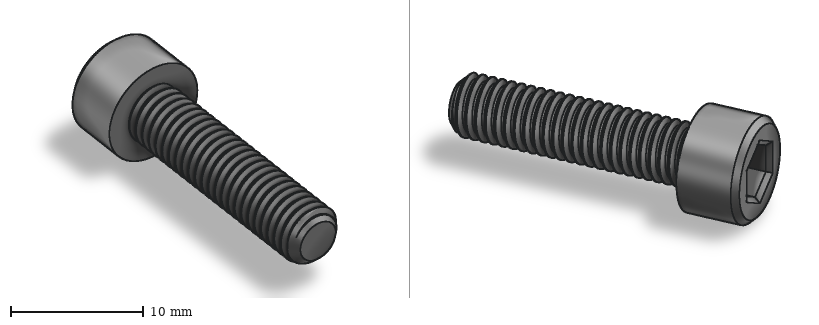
import cadquery as cq
import math

head_diameter = 8.5
head_length = 5.0
head_chamfer = 0.5

socket_flats = 4.0
socket_depth = 2.5
socket_chamfer = 0.4
socket_chamfer_angle = 45
socket_mouth_flats = socket_flats + 2 * socket_chamfer

thread_diameter = 5.0
thread_length = 20.0
pitch = 0.8
tip_chamfer = 0.8
flank_angle = 30
flank_tangent = math.tan(math.radians(flank_angle))
sharp_height = pitch / (2 * flank_tangent)
thread_depth = sharp_height * 5 / 8
crest_flat = pitch / 8
flank_length = thread_depth * flank_tangent
major_radius = thread_diameter / 2
minor_radius = major_radius - thread_depth

spare_turns = 2
shank_clearance = 0.1
thread_turns = math.ceil(thread_length / pitch) + spare_turns
thread_start = head_length - 1.5 * pitch


def hexagon(workplane, flats):
    """Hexagon on a plane facing X, with corners on the Z direction."""
    across_corners = flats / math.cos(math.radians(30))
    return workplane.transformed(rotate=(0, 0, 90)).polygon(6, across_corners)


def make_socket():
    top = cq.Workplane("YZ")
    bore = hexagon(top, socket_flats).extrude(socket_depth)
    mouth = hexagon(top, socket_mouth_flats).extrude(socket_chamfer, taper=socket_chamfer_angle)
    return bore.union(mouth)


def make_head():
    head = cq.Workplane("YZ").circle(head_diameter / 2).extrude(head_length)
    return head.faces("<X").chamfer(head_chamfer).cut(make_socket())


def helix_turn(radius, start):
    """One turn of the helix about Z, beginning above the X axis at height start."""
    turn = cq.Wire.makeHelix(pitch, pitch, radius, center=cq.Vector(0, 0, start))
    return turn.Edges()[0]


def thread_end(profile, base):
    """The two faces that close the thread: a flat step one pitch high and a helical floor."""
    corners = [(0, 0, base + profile[0][0])]
    corners += [(radius, 0, base + offset) for offset, radius in profile]
    corners += [(0, 0, base + profile[-1][0])]
    outline = cq.Wire.makePolygon([cq.Vector(*corner) for corner in corners], close=True)
    step = cq.Face.makeFromWires(outline)
    axis = cq.Edge.makeLine(cq.Vector(*corners[0]), cq.Vector(*corners[-1]))
    floor = cq.Face.makeRuledSurface(axis, helix_turn(profile[0][1], base + profile[0][0]))
    return [step, floor]


def make_threaded_rod():
    """Solid bounded by helical crest, flank and root strips, then laid along X."""
    crest_half = crest_flat / 2
    profile = [
        (-crest_half, major_radius),
        (crest_half, major_radius),
        (crest_half + flank_length, minor_radius),
        (pitch - crest_half - flank_length, minor_radius),
        (pitch - crest_half, major_radius),
    ]
    faces = thread_end(profile, 0) + thread_end(profile, thread_turns * pitch)
    for turn in range(thread_turns):
        base = turn * pitch
        for (offset_a, radius_a), (offset_b, radius_b) in zip(profile, profile[1:]):
            edge_a = helix_turn(radius_a, base + offset_a)
            edge_b = helix_turn(radius_b, base + offset_b)
            faces.append(cq.Face.makeRuledSurface(edge_a, edge_b))
    rod = cq.Workplane(obj=cq.Solid.makeSolid(cq.Shell.makeShell(faces)))
    return rod.rotate((0, 0, 0), (0, 1, 0), 90).translate((thread_start, 0, 0))


def make_shank():
    """Threaded rod trimmed to the shank length and to the 45 degree cone of the tip."""
    envelope = cq.Workplane("YZ", origin=(head_length, 0, 0))
    envelope = envelope.circle(major_radius + shank_clearance).extrude(thread_length)
    envelope = envelope.faces(">X").chamfer(tip_chamfer + shank_clearance)
    return make_threaded_rod().intersect(envelope)


result = make_head().union(make_shank())